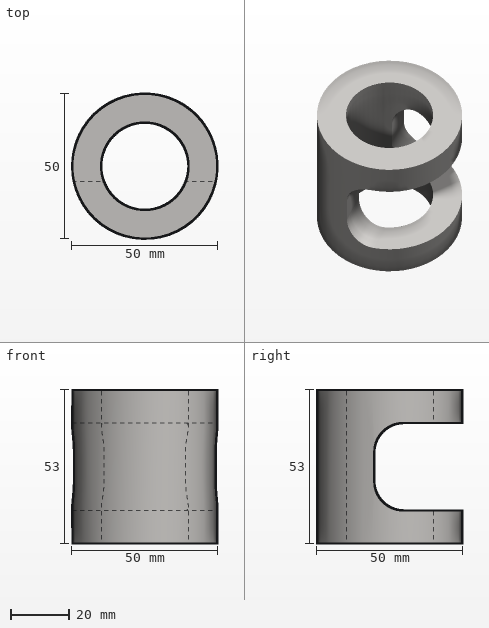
import cadquery as cq

height = 53.0
outer_diameter = 50.0
bore_diameter = 30.0
window_height = bore_diameter
window_corner_radius = 10.0
window_end_y = -5.3
cut_margin = 2.65


def make_sleeve():
    """Plain tube standing on the XY plane, centred on the Z axis."""
    return (
        cq.Workplane("XY")
        .circle(outer_diameter / 2)
        .circle(bore_diameter / 2)
        .extrude(height)
    )


def make_window():
    """Block open toward +Y, with rounded inner corners, spanning the full width in X."""
    width = outer_diameter + 2 * cut_margin
    depth = outer_diameter / 2 + cut_margin - window_end_y
    return (
        cq.Workplane("XY")
        .box(width, depth, window_height, centered=(True, False, True))
        .edges("|X and <Y")
        .fillet(window_corner_radius)
        .translate((0, window_end_y, height / 2))
    )


result = make_sleeve().cut(make_window())